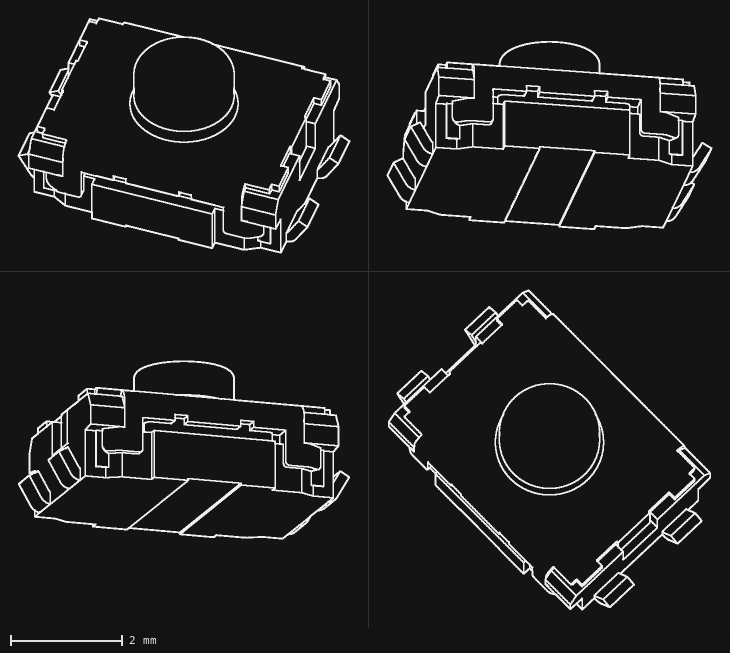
import cadquery as cq
import math

body_length = 4.695
body_width = 3.5
body_top = 1.5
bottom_slot_width = 1.0
bottom_slot_height = 0.035

block_inner_x = 1.7
block_chamfer_width = 0.15
block_chamfer_height = 0.255
block_underside_outer = 0.89
block_underside_inner = 0.86

core_width = 3.2
lower_end_width = 2.905
slope_end_x = 1.965
rib_inner_x = 1.87
rib_bottom = 0.19
rib_depth = 0.03

plate_length = 2.29
plate_top = 0.875

lid_top = 1.645
lid_width = 3.475
lid_bend_radius = 0.26
lid_length = 4.31
lid_corner_width = 3.1
ear_length = 4.6
ear_inner_y = 0.91
ear_outer_y = 1.41
end_tab_length = 4.38
end_tab_width = 0.79
end_recess_width = 0.86

leg_bottom = 0.45
leg_bend_x = 1.795
leg_end_x = 2.07
leg_angle = math.radians(30)
leg_depth = 0.175
leg_bend_radius = 0.15
leg_inner_corner_radius = 0.065
leg_outer_corner_radius = 0.1

window_length = 2.705
window_top = 1.1
window_floor_y = 1.375
window_block_length = 2.41
window_block_y = 1.51
window_block_radius = 0.11
notch_inner_x = 0.5
notch_width = 0.24
notch_top = 1.21

button_radius = 0.9
button_foot_radius = 0.975
button_foot_top = 1.85
button_top = 2.5
button_edge_radius = 0.11

overall_length = 5.5
terminal_width = 0.605
terminal_y = 0.845
terminal_thickness = 0.2
terminal_angle = math.radians(60)
terminal_tip_z = 0.5
terminal_outer_bend_radius = 0.22
terminal_inner_bend_radius = 0.11


def box(x_range, y_range, z_range):
    """Box between pairs of limits along X, Y and Z."""
    (x0, x1), (y0, y1), (z0, z1) = x_range, y_range, z_range
    return cq.Workplane("XY").box(x1 - x0, y1 - y0, z1 - z0, centered=False).translate((x0, y0, z0))


def middle(size):
    """Limits of a length centred on zero."""
    return (-size / 2, size / 2)


def on_both_sides(shape, plane):
    """The shape together with its mirror image."""
    return shape.union(shape.mirror(plane))


def on_four_corners(shape):
    return on_both_sides(on_both_sides(shape, "YZ"), "XZ")


def make_housing():
    half_core = core_width / 2
    half_end = lower_end_width / 2
    half_length = body_length / 2
    lower = (
        cq.Workplane("XY")
        .moveTo(0, 0)
        .lineTo(half_length, 0)
        .lineTo(half_length, half_end)
        .lineTo(slope_end_x, half_end)
        .lineTo(block_inner_x, half_core)
        .lineTo(0, half_core)
        .close()
        .extrude(block_underside_outer)
    )
    half_width = body_width / 2
    block = (
        cq.Workplane("YZ", origin=(block_inner_x, 0, 0))
        .moveTo(0, 0)
        .lineTo(half_end, 0)
        .lineTo(half_end, block_underside_inner)
        .lineTo(half_width, block_underside_outer)
        .lineTo(half_width, body_top - block_chamfer_height)
        .lineTo(half_width - block_chamfer_width, body_top)
        .lineTo(0, body_top)
        .close()
        .extrude(half_length - block_inner_x)
    )
    rib = box(
        (rib_inner_x, lid_length / 2),
        (0, half_end + rib_depth),
        (rib_bottom, block_underside_outer),
    )
    corner = lower.union(block).union(rib)
    plates = box(middle(plate_length), middle(body_width), (0, plate_top))
    end_recess = box(
        (lid_length / 2, half_length), middle(end_recess_width), (plate_top, body_top)
    )
    housing = on_four_corners(corner).union(plates)
    return housing.cut(on_both_sides(end_recess, "YZ"))


def make_leg():
    half_width = lid_width / 2
    end_y = half_width - (leg_end_x - leg_bend_x) * math.tan(leg_angle)
    inner_end_x = leg_end_x - leg_depth * math.sin(leg_angle)
    inner_end_y = end_y - leg_depth * math.cos(leg_angle)
    return (
        cq.Workplane("XY", origin=(0, 0, leg_bottom))
        .moveTo(window_length / 2, inner_end_y)
        .lineTo(window_length / 2, half_width)
        .lineTo(leg_bend_x, half_width)
        .lineTo(leg_end_x, end_y)
        .lineTo(inner_end_x, inner_end_y)
        .close()
        .extrude(block_underside_outer - leg_bottom)
        .edges("|Z")
        .edges(cq.selectors.NearestToPointSelector((leg_bend_x, half_width, leg_bottom)))
        .fillet(leg_bend_radius)
        .faces("<Z")
        .edges("<X")
        .fillet(leg_inner_corner_radius)
        .faces("<Z")
        .edges(">X")
        .fillet(leg_outer_corner_radius)
    )


def make_lid():
    cover = (
        box(middle(lid_length), middle(lid_width), (block_underside_outer, lid_top))
        .edges("|X and >Z")
        .fillet(lid_bend_radius)
    )
    bend_center_y = lid_width / 2 - lid_bend_radius
    corner_clearance = (
        cq.Workplane("YZ", origin=(block_inner_x, 0, 0))
        .moveTo(lid_corner_width / 2, lid_top)
        .lineTo(bend_center_y, lid_top - lid_bend_radius)
        .lineTo(bend_center_y, 0)
        .lineTo(lid_width / 2, 0)
        .lineTo(lid_width / 2, lid_top)
        .close()
        .extrude(lid_length / 2 - block_inner_x)
    )
    ear = box((0, ear_length / 2), (ear_inner_y, ear_outer_y), (body_top, lid_top))
    end_tabs = box(middle(end_tab_length), middle(end_tab_width), (plate_top, lid_top))
    lid = cover.cut(on_four_corners(corner_clearance))
    return lid.union(on_four_corners(ear)).union(end_tabs).union(on_four_corners(make_leg()))


def make_window_cut():
    """Opening in the lid wall between the legs, above the plate."""
    opening = box(middle(window_length), (window_floor_y, lid_width / 2), (plate_top, window_top))
    block = (
        box(middle(window_block_length), (0, window_block_y), (plate_top, window_top))
        .edges("|Z and >Y")
        .fillet(window_block_radius)
    )
    notch = box(
        (notch_inner_x, notch_inner_x + notch_width),
        (window_block_y, lid_width / 2),
        (window_top, notch_top),
    )
    cut = opening.cut(block).union(on_both_sides(notch, "YZ"))
    return on_both_sides(cut, "XZ")


def make_button():
    foot_height = button_foot_top - lid_top
    foot = (
        cq.Workplane("XY", origin=(0, 0, lid_top))
        .circle(button_foot_radius)
        .workplane(offset=foot_height)
        .circle(button_radius)
        .loft()
    )
    cap = (
        cq.Workplane("XY", origin=(0, 0, button_foot_top))
        .circle(button_radius)
        .extrude(button_top - button_foot_top)
        .faces(">Z")
        .edges()
        .fillet(button_edge_radius)
    )
    return foot.union(cap)


def make_terminal():
    """Flat foot leaving the housing and bent upward at the end."""
    tip_x = overall_length / 2
    slope = math.tan(terminal_angle)
    bend_x = tip_x - terminal_tip_z / slope
    inner_tip_x = tip_x - terminal_thickness * math.sin(terminal_angle)
    inner_tip_z = terminal_tip_z + terminal_thickness * math.cos(terminal_angle)
    inner_bend_x = inner_tip_x - (inner_tip_z - terminal_thickness) / slope
    start_x = lid_length / 2
    return (
        cq.Workplane("XZ", origin=(0, terminal_y + terminal_width / 2, 0))
        .moveTo(start_x, 0)
        .lineTo(bend_x, 0)
        .lineTo(tip_x, terminal_tip_z)
        .lineTo(inner_tip_x, inner_tip_z)
        .lineTo(inner_bend_x, terminal_thickness)
        .lineTo(start_x, terminal_thickness)
        .close()
        .extrude(terminal_width)
        .edges(cq.selectors.NearestToPointSelector((bend_x, terminal_y, 0)))
        .fillet(terminal_outer_bend_radius)
        .edges(cq.selectors.NearestToPointSelector((inner_bend_x, terminal_y, terminal_thickness)))
        .fillet(terminal_inner_bend_radius)
    )


bottom_slot = box(middle(bottom_slot_width), middle(body_width), (0, bottom_slot_height))

result = (
    make_housing()
    .union(make_lid())
    .cut(make_window_cut())
    .cut(bottom_slot)
    .union(make_button())
    .union(on_four_corners(make_terminal()))
)